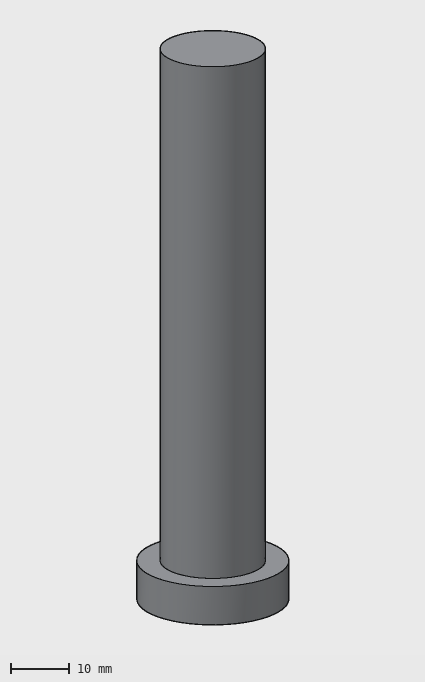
import cadquery as cq

total_length = 100.0
head_diameter = 26.0
head_height = 7.0
shank_diameter = 18.0
shank_length = total_length - head_height

head = cq.Workplane("XY").circle(head_diameter / 2).extrude(head_height)

result = head.faces(">Z").workplane().circle(shank_diameter / 2).extrude(shank_length)